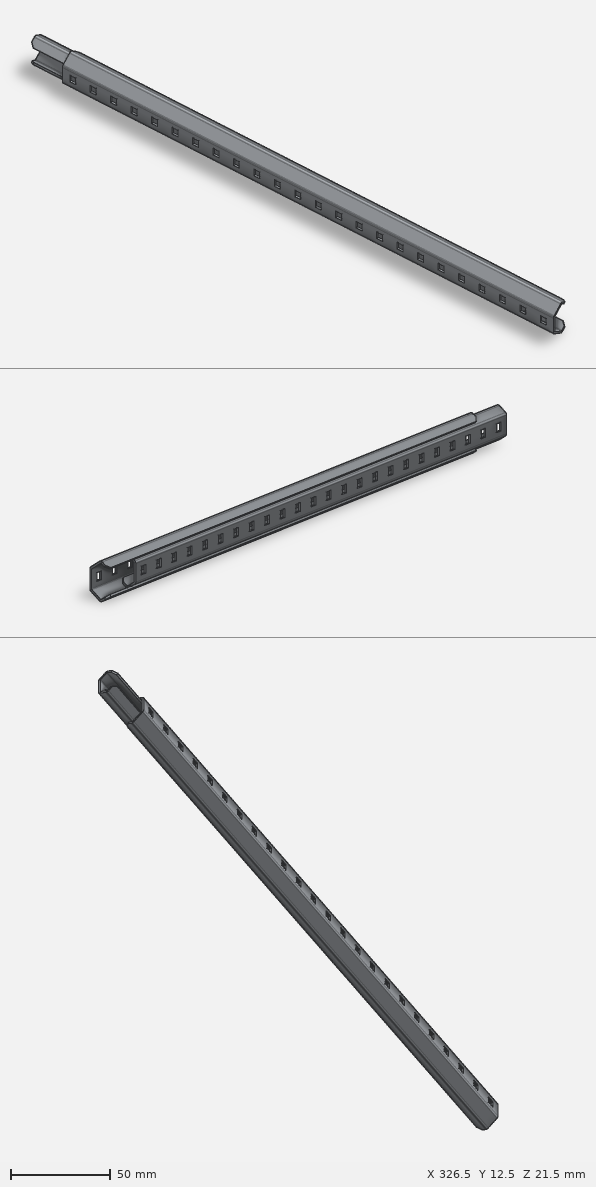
import cadquery as cq
import math

total_length = 326.5
total_depth = 12.5
total_height = 21.5

strip_length = 304.7
stagger = total_length - strip_length
wall = 1.2
inner_bend = 0.3
outer_bend = inner_bend + wall
tip_chamfer = 2.3

front_tip_setback = 0.5
back_tip_setback = 2.0

slot_count = 24
slot_pitch = strip_length / slot_count
slot_width = 3.5
slot_height = 4.5

flange_angle = math.radians(36)
slope = math.tan(flange_angle)
wall_drop = wall / math.cos(flange_angle)
ridge_y = 0.82
ridge_z = total_height / 2 + outer_bend * (1 / math.cos(flange_angle) - 1)


def slope_z(y, layer):
    """Height of the sloping surface that lies `layer` wall thicknesses below the outside."""
    return ridge_z - layer * wall_drop - slope * abs(y - ridge_y)


def round_bend(body, y, z, radius):
    """Round the two lengthwise edges at heights z and -z."""
    for edge_z in (z, -z):
        bend_middle = cq.selectors.NearestToPointSelector((strip_length / 2, y, edge_z))
        body = body.edges("|X").edges(bend_middle).fillet(radius)
    return body


def chamfer_tip_corners(body, y, z):
    """Cut off the four flange-tip corners, through the sheet thickness."""
    for x in (0, strip_length):
        for edge_z in (z, -z):
            corner = cq.selectors.NearestToPointSelector((x, y, edge_z))
            body = body.edges(corner).chamfer(tip_chamfer)
    return body


def slot_cutter(web_y):
    """Rectangular bars that pierce one web, one for each slot."""
    centres = [((i + 0.5) * slot_pitch, web_y) for i in range(slot_count)]
    return cq.Workplane("XY").pushPoints(centres).box(slot_width, 2 * wall, slot_height)


def strip(side, layer, tip_setback):
    """Slotted web on one Y side (-1 or 1), with bent flanges that reach over to the other side.

    Layer 0 is the outer strip; layer 1 nests inside its flanges.
    """
    web_y = side * total_depth / 2
    web_inner_y = web_y - side * wall
    tip_y = -side * (total_depth / 2 - tip_setback)
    tip_inner_y = tip_y + side * wall * math.sin(flange_angle)

    web_corner, ridge, tip = [(y, slope_z(y, layer)) for y in (web_y, ridge_y, tip_y)]
    inner_web_corner, inner_ridge, inner_tip = [
        (y, slope_z(y, layer + 1)) for y in (web_inner_y, ridge_y, tip_inner_y)
    ]
    upper_half = [web_corner, ridge, tip, inner_tip, inner_ridge, inner_web_corner]
    lower_half = [(y, -z) for y, z in reversed(upper_half)]
    body = cq.Workplane("YZ").polyline(upper_half + lower_half).close().extrude(strip_length)

    body = chamfer_tip_corners(body, (tip[0] + inner_tip[0]) / 2, (tip[1] + inner_tip[1]) / 2)
    for y, z in (web_corner, ridge):
        body = round_bend(body, y, z, outer_bend)
    for y, z in (inner_web_corner, inner_ridge):
        body = round_bend(body, y, z, inner_bend)
    return body.cut(slot_cutter(web_y - side * wall / 2))


front_strip = strip(-1, 0, front_tip_setback).translate((stagger - total_length / 2, 0, 0))
back_strip = strip(1, 1, back_tip_setback).translate((-total_length / 2, 0, 0))

result = cq.Compound.makeCompound([front_strip.val(), back_strip.val()])